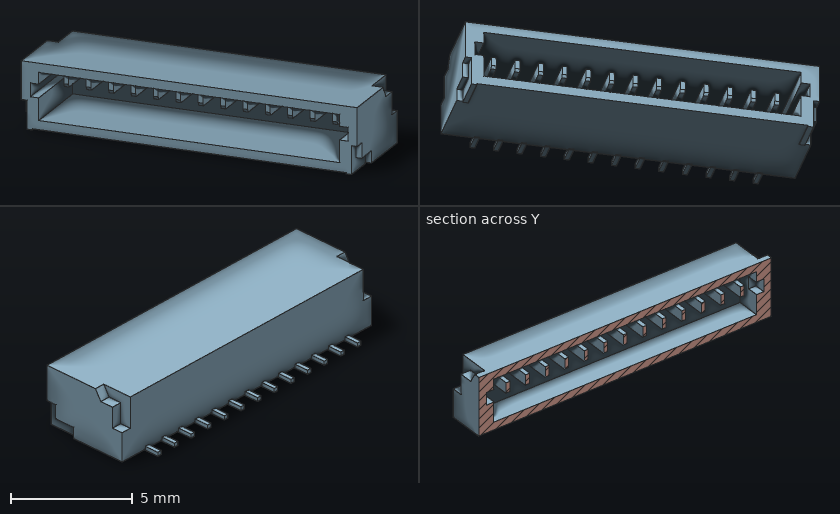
import cadquery as cq

LENGTH = 15.0
DEPTH = 4.95
HEIGHT = 2.95

STANDOFF = 0.05
TAIL_REACH = 0.7
HOUSING_DEPTH = DEPTH - TAIL_REACH
BACK_WALL = 0.65

CAVITY_WALL = 0.4
CAVITY_END_WALL = 0.78
CAVITY_DEPTH = HOUSING_DEPTH - BACK_WALL
CAVITY_HALF_LENGTH = LENGTH / 2 - CAVITY_END_WALL

KEYWAY_END_WALL = 0.4
KEYWAY_BOTTOM = 1.44
KEYWAY_HEIGHT = 0.6
KEYWAY_DEPTH = 3.0

NOTCH_WIDTH = 0.5
NOTCH_BACK_LENGTH = 0.54
NOTCH_BACK_DROP = 1.5
NOTCH_LEDGE_LENGTH = 1.2
NOTCH_LEDGE_DROP = 0.5
NOTCH_TOP_LENGTH = 1.5

RECESS_WIDTH = 0.5
FOOT_THICKNESS = 0.24
RECESS_FRONT_LENGTH = 0.5
RECESS_FRONT_TOP = 1.26
RECESS_LENGTH = 1.5
RECESS_REAR_TOP = 0.58

PIN_COUNT = 13
PIN_SPAN = 12.0
PIN_WIDTH = 0.21
PIN_BOTTOM = 1.62
PIN_TOP = 2.15
PIN_TIP_Y = 1.2
PIN_BEVEL_HEIGHT = 0.14
PIN_BEVEL_LENGTH = 0.06
TAIL_THICKNESS = 0.2
TAIL_INSET = 0.1


def box(x_start, x_end, y_start, y_end, z_start, z_end):
    """Box between two opposite corners."""
    size = (x_end - x_start, y_end - y_start, z_end - z_start)
    return cq.Workplane("XY").box(*size, centered=False).translate((x_start, y_start, z_start))


def side_plate(points, x_start, thickness):
    """Plate with a (Y, Z) outline, running towards +X from x_start."""
    return cq.Workplane("YZ", origin=(x_start, 0, 0)).polyline(points).close().extrude(thickness)


def both_ends(body):
    """The body together with its mirror image at the other end."""
    return body.union(body.mirror("YZ"))


def cavity():
    return box(
        -CAVITY_HALF_LENGTH, CAVITY_HALF_LENGTH,
        0, CAVITY_DEPTH,
        STANDOFF + CAVITY_WALL, HEIGHT - CAVITY_WALL,
    )


def keyway():
    return box(
        KEYWAY_END_WALL - LENGTH / 2, -CAVITY_HALF_LENGTH,
        0, KEYWAY_DEPTH,
        KEYWAY_BOTTOM, KEYWAY_BOTTOM + KEYWAY_HEIGHT,
    )


def rear_notch():
    outline = [
        (HOUSING_DEPTH, HEIGHT),
        (HOUSING_DEPTH, HEIGHT - NOTCH_BACK_DROP),
        (HOUSING_DEPTH - NOTCH_BACK_LENGTH, HEIGHT - NOTCH_BACK_DROP),
        (HOUSING_DEPTH - NOTCH_BACK_LENGTH, HEIGHT - NOTCH_LEDGE_DROP),
        (HOUSING_DEPTH - NOTCH_LEDGE_LENGTH, HEIGHT - NOTCH_LEDGE_DROP),
        (HOUSING_DEPTH - NOTCH_TOP_LENGTH, HEIGHT),
    ]
    return side_plate(outline, -LENGTH / 2, NOTCH_WIDTH)


def front_l_plate(x_start, thickness):
    """L-shaped plate shared by the front recess and the foot inside it."""
    outline = [
        (0, 0),
        (RECESS_LENGTH, 0),
        (RECESS_LENGTH, RECESS_REAR_TOP),
        (RECESS_FRONT_LENGTH, RECESS_REAR_TOP),
        (RECESS_FRONT_LENGTH, RECESS_FRONT_TOP),
        (0, RECESS_FRONT_TOP),
    ]
    return side_plate(outline, x_start, thickness)


def contact(x_center):
    """Mating pin inside the cavity and solder tail behind the housing."""
    x_start = x_center - PIN_WIDTH / 2
    pin_outline = [
        (PIN_TIP_Y, PIN_TOP),
        (PIN_TIP_Y, PIN_BOTTOM + PIN_BEVEL_HEIGHT),
        (PIN_TIP_Y + PIN_BEVEL_LENGTH, PIN_BOTTOM),
        (HOUSING_DEPTH, PIN_BOTTOM),
        (HOUSING_DEPTH, PIN_TOP),
    ]
    pin = side_plate(pin_outline, x_start, PIN_WIDTH)
    tail = box(x_start, x_start + PIN_WIDTH, HOUSING_DEPTH - TAIL_INSET, DEPTH, 0, TAIL_THICKNESS)
    return pin, tail


result = box(-LENGTH / 2, LENGTH / 2, 0, HOUSING_DEPTH, STANDOFF, HEIGHT)
result = result.cut(cavity())
result = result.cut(both_ends(keyway()))
result = result.cut(both_ends(rear_notch()))
result = result.cut(both_ends(front_l_plate(-LENGTH / 2, RECESS_WIDTH)))

foot_start = RECESS_WIDTH - FOOT_THICKNESS - LENGTH / 2
result = result.union(both_ends(front_l_plate(foot_start, FOOT_THICKNESS)))

pin_pitch = PIN_SPAN / (PIN_COUNT - 1)
for index in range(PIN_COUNT):
    pin, tail = contact(index * pin_pitch - PIN_SPAN / 2)
    result = result.union(pin).union(tail)